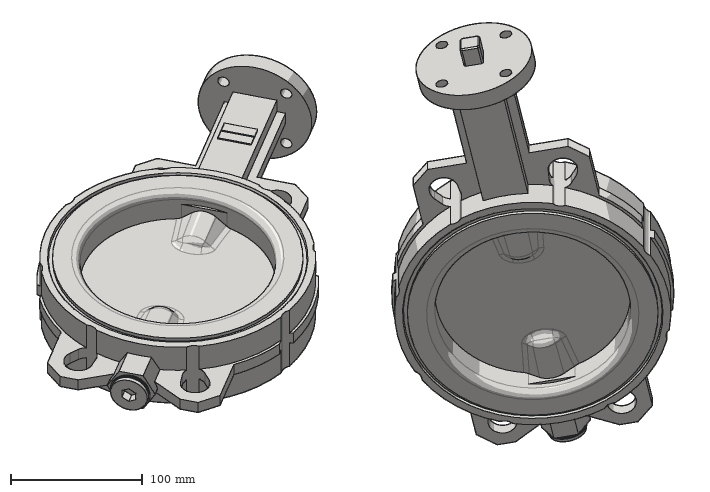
import cadquery as cq
import math


ring_radius = 104.8
ring_half_height = 28.0
liner_radius = 95.0
liner_half_height = 28.7
groove_top_radius = 99.0
groove_floor_radius = 98.0
groove_depth = 2.2
bore_radius = 74.2
bore_lip_radius = 6.5

rib_radius = 107.0
rib_thickness = 10.0
lug_half_width = 68.3
lug_end = 132.5
lug_chamfer_x = 13.8
lug_chamfer_y = 12.5
lug_foot_x = 40.3
lug_root_x = 16.8
lug_root_y = 118.5

bolt_angle = 67.5
slot_outer_distance = 120.5
slot_outer_radius = 11.2
slot_inner_distance = 112.3
slot_inner_radius = 9.0
notch_length = 11.2

neck_width = 34.7
neck_height = 33.0
neck_rib_width = 48.5
flange_radius = 90.0 / 2
flange_start = 210.0
flange_end = 223.8
flange_bolt_circle_radius = 35.0
flange_hole_diameter = 9.0
stem_width = 15.3
stem_end = 240.0
stem_edge_chamfer = 1.5
stem_tip_chamfer = 1.0

plate_width = 26.5
plate_length = 8.5
plate_thickness = 1.0
plate_centres_y = (168.0, 158.5)

boss_end = 127.0
boss_across_flats = 33.0
plug_radius = 14.5
collar_radius = 15.5
collar_start = 129.0
collar_end = 129.8
plug_end = 133.0
socket_across_flats = 11.0
socket_depth = 7.5

disc_radius = 80.2
disc_rim_half_thickness = 2.5
disc_centre_half_thickness = 6.0
seat_y = 72.0
seat_half_height = 17.5
hub_outer_y = 76.5
hub_tip_y = 38.0
hub_outer_height = 15.0
hub_tip_height = 13.0
hub_outer_arc_radius = 15.0
hub_tip_arc_radius = 13.5
hub_flank_angle = 40
hub_tip_fillet = 6.0
hub_base_fillet = 6.7


def box(x_min, x_max, y_min, y_max, height):
    """Box between the given X and Y limits, centred on Z = 0."""
    centre = ((x_min + x_max) / 2, (y_min + y_max) / 2, 0)
    return cq.Workplane("XY").box(x_max - x_min, y_max - y_min, height).translate(centre)


def plane_at_y(y):
    """Plane facing +Y at the given Y, with local X along +X and local Y along -Z."""
    return cq.Workplane(cq.Plane(origin=(0, y, 0), xDir=(1, 0, 0), normal=(0, 1, 0)))


def make_ring():
    """Full disc of the body with the seal groove on both faces; the bore is cut later."""
    ring = cq.Workplane("XY").circle(ring_radius).extrude(ring_half_height, both=True)
    liner = cq.Workplane("XY").circle(liner_radius).extrude(liner_half_height, both=True)
    groove_floor = ring_half_height - groove_depth
    groove_profile = [
        (liner_radius, groove_floor),
        (groove_floor_radius, groove_floor),
        (groove_top_radius, ring_half_height),
        (liner_radius, ring_half_height),
    ]
    groove = cq.Workplane("XZ").polyline(groove_profile).close().revolve(360, (0, 0), (0, 1))
    return ring.union(liner).cut(groove).cut(groove.mirror("XY"))


def make_rib():
    """Rib around the ring with the four lugs."""
    half_outline = [
        (0, lug_end),
        (lug_half_width - lug_chamfer_x, lug_end),
        (lug_half_width, lug_end - lug_chamfer_y),
        (lug_half_width, -lug_end + lug_chamfer_y),
        (lug_half_width - lug_chamfer_x, -lug_end),
        (lug_foot_x, -lug_end),
        (lug_root_x, -lug_root_y),
        (0, -lug_root_y),
    ]
    half_lugs = cq.Workplane("XY").polyline(half_outline).close().extrude(rib_thickness / 2, both=True)
    rim = cq.Workplane("XY").circle(rib_radius).extrude(rib_thickness / 2, both=True)
    return rim.union(half_lugs).union(half_lugs.mirror("YZ"))


def make_neck():
    """Neck with side ribs, round top flange and square stem end."""
    neck = box(-neck_width / 2, neck_width / 2, bore_radius, flange_start, neck_height)
    side_ribs = box(-neck_rib_width / 2, neck_rib_width / 2, bore_radius, flange_start, rib_thickness)
    hole_pitch = flange_bolt_circle_radius * math.sqrt(2)
    flange = (
        plane_at_y(flange_start)
        .circle(flange_radius)
        .extrude(flange_end - flange_start)
        .faces(">Y")
        .workplane(origin=(0, flange_end, 0))
        .rect(hole_pitch, hole_pitch, forConstruction=True)
        .vertices()
        .hole(flange_hole_diameter)
    )
    stem = (
        box(-stem_width / 2, stem_width / 2, flange_start, stem_end, stem_width)
        .edges("|Y")
        .chamfer(stem_edge_chamfer)
        .faces(">Y")
        .chamfer(stem_tip_chamfer)
    )
    neck = neck.union(side_ribs).union(flange).union(stem)
    for y in plate_centres_y:
        plate = cq.Workplane("XY", origin=(0, y, 0)).rect(plate_width, plate_length)
        neck = neck.union(plate.extrude(neck_height / 2 + plate_thickness))
    return neck


def make_lower_boss():
    """Hexagonal boss below the ring, closed by a collared plug with a hex socket."""
    boss_diameter = boss_across_flats / math.cos(math.pi / 6)
    boss = plane_at_y(-boss_end).polygon(6, boss_diameter).extrude(boss_end - bore_radius)
    plug_profile = [
        (0, -bore_radius),
        (plug_radius, -bore_radius),
        (plug_radius, -collar_start),
        (collar_radius, -collar_start),
        (collar_radius, -collar_end),
        (plug_radius, -collar_end),
        (plug_radius, -plug_end),
        (0, -plug_end),
    ]
    plug = cq.Workplane("XY").polyline(plug_profile).close().revolve(360, (0, 0), (0, 1))
    socket_diameter = socket_across_flats / math.cos(math.pi / 6)
    socket = plane_at_y(-plug_end).transformed(rotate=(0, 0, 90)).polygon(6, socket_diameter)
    return boss.union(plug).cut(socket.extrude(socket_depth))


def make_bore():
    """Cutter for the bore with a rounded lip at both ends."""
    lip_start = liner_half_height - bore_lip_radius
    lip_mid = bore_lip_radius * (1 - math.sqrt(0.5))
    lip_edge = bore_radius + bore_lip_radius
    return (
        cq.Workplane("XZ")
        .moveTo(0, -liner_half_height)
        .lineTo(lip_edge, -liner_half_height)
        .threePointArc((bore_radius + lip_mid, -liner_half_height + lip_mid), (bore_radius, -lip_start))
        .lineTo(bore_radius, lip_start)
        .threePointArc((bore_radius + lip_mid, liner_half_height - lip_mid), (lip_edge, liner_half_height))
        .lineTo(0, liner_half_height)
        .close()
        .revolve(360, (0, 0), (0, 1))
    )


def make_slot():
    """Cutter for one lug slot: the outline tangent to its outer and inner circles."""
    taper = math.asin((slot_outer_radius - slot_inner_radius) / (slot_outer_distance - slot_inner_distance))

    def tangent_point(distance, radius, side):
        return (distance - radius * math.sin(taper), side * radius * math.cos(taper))

    return (
        cq.Workplane("XY")
        .moveTo(*tangent_point(slot_inner_distance, slot_inner_radius, -1))
        .lineTo(*tangent_point(slot_outer_distance, slot_outer_radius, -1))
        .threePointArc(
            (slot_outer_distance + slot_outer_radius, 0),
            tangent_point(slot_outer_distance, slot_outer_radius, 1),
        )
        .lineTo(*tangent_point(slot_inner_distance, slot_inner_radius, 1))
        .threePointArc(
            (slot_inner_distance - slot_inner_radius, 0),
            tangent_point(slot_inner_distance, slot_inner_radius, -1),
        )
        .close()
        .extrude(liner_half_height, both=True)
        .rotate((0, 0, 0), (0, 0, 1), bolt_angle)
    )


def make_side_notch():
    """Cutter for one bolt notch in the side of the ring, running straight in Y."""
    angle = math.radians(90 - bolt_angle)
    x = slot_inner_distance * math.cos(angle)
    y = slot_inner_distance * math.sin(angle)
    end = cq.Workplane("XY").center(x, y).circle(slot_inner_radius).extrude(liner_half_height, both=True)
    run = box(x - slot_inner_radius, x + slot_inner_radius, y, y + notch_length, 2 * liner_half_height)
    return end.union(run)


def four_fold(shape):
    """The shape together with its mirror images in X and Y."""
    pair = shape.union(shape.mirror("YZ"))
    return pair.union(pair.mirror("XZ"))


def hub_section(plane, height, arc_radius):
    """Hub cross-section: a round crest running tangentially into sloping flanks."""
    flank = math.radians(hub_flank_angle)
    crest_x = arc_radius * math.sin(flank)
    crest_z = height - arc_radius * (1 - math.cos(flank))
    foot_x = crest_x + crest_z / math.tan(flank)
    return (
        plane.moveTo(-foot_x, 0)
        .lineTo(-crest_x, crest_z)
        .threePointArc((0, height), (crest_x, crest_z))
        .lineTo(foot_x, 0)
        .close()
    )


def dome_mid_point():
    """Point halfway along the shallow arc from the disc rim to its centre."""
    rise = disc_centre_half_thickness - disc_rim_half_thickness
    dome_radius = (disc_radius**2 + rise**2) / (2 * rise)
    half_angle = math.asin(disc_radius / dome_radius) / 2
    drop = dome_radius * (1 - math.cos(half_angle))
    return (dome_radius * math.sin(half_angle), disc_centre_half_thickness - drop)


def make_hub():
    """Tapered stem hub for the upper face at the +Y end, with a rounded tip."""
    outer_plane = cq.Workplane(cq.Plane(origin=(0, hub_outer_y, 0), xDir=(-1, 0, 0), normal=(0, 1, 0)))
    outer = hub_section(outer_plane, hub_outer_height, hub_outer_arc_radius)
    tip_plane = outer.workplane(offset=hub_tip_y - hub_outer_y)
    hub = hub_section(tip_plane, hub_tip_height, hub_tip_arc_radius).loft(ruled=True)
    return hub.faces("<Y").edges("not(<Z)").fillet(hub_tip_fillet)


def make_disc():
    """Domed closing disc with a tapered stem hub at each end, on both faces."""
    half_disc = (
        cq.Workplane("XZ")
        .lineTo(disc_radius, 0)
        .lineTo(disc_radius, disc_rim_half_thickness)
        .threePointArc(dome_mid_point(), (0, disc_centre_half_thickness))
        .close()
        .revolve(360, (0, 0), (0, 1))
    )
    hub = make_hub()
    half_disc = half_disc.union(hub).union(hub.mirror("XZ"))
    half_width = hub_outer_height / math.tan(math.radians(hub_flank_angle)) + hub_outer_arc_radius
    hub_base_lowest_z = (3 * disc_rim_half_thickness + disc_centre_half_thickness) / 4
    hub_base = cq.selectors.BoxSelector(
        (-half_width, -hub_outer_y, hub_base_lowest_z),
        (half_width, hub_outer_y, disc_centre_half_thickness),
    )
    half_disc = half_disc.edges(hub_base).fillet(hub_base_fillet)
    return half_disc.union(half_disc.mirror("XY"))


def make_seats():
    """Flat faces in the bore where the stem passes through."""
    flats = box(-bore_radius, bore_radius, seat_y, bore_radius + bore_lip_radius, 2 * seat_half_height)
    flats = flats.intersect(cq.Workplane("XY").circle(bore_radius).extrude(seat_half_height, both=True))
    return flats.union(flats.mirror("XZ"))


result = (
    make_ring()
    .union(make_rib())
    .union(make_neck())
    .union(make_lower_boss())
    .cut(make_bore())
    .cut(four_fold(make_slot()))
    .cut(four_fold(make_side_notch()))
    .union(make_seats())
    .union(make_disc())
)